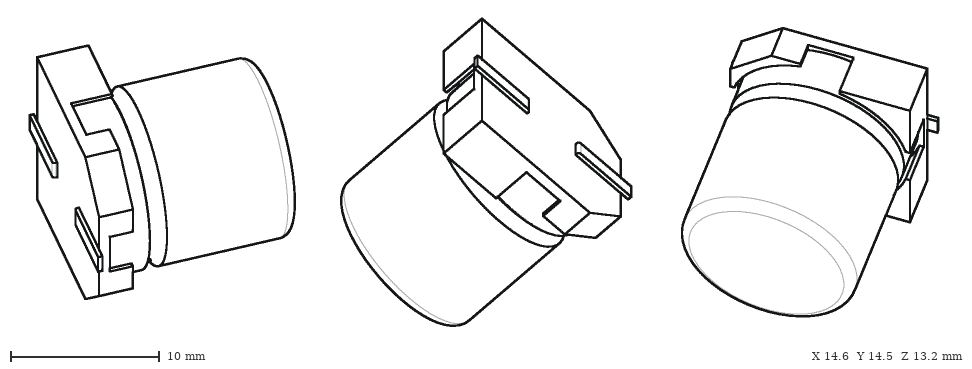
import cadquery as cq


BASE_SIDE = 13.2
BASE_CORNER_CHAMFER = 2.93
BASE_TALL = 3.65
BASE_SHORT = 2.4
FLOOR_THICKNESS = 0.76
WINDOW_WIDTH = 3.22
BORE_RADIUS = 6.5

CAN_RADIUS = 6.21
CAN_TOP = 14.21
RIM_FILLET = 0.7
GROOVE_RADIUS = 0.6
GROOVE_CENTER = 4.34

LEAD_LENGTH = 5.0
LEAD_WIDTH = 1.35
LEAD_THICKNESS = 0.3
LEAD_END_FILLET = 0.2
LEAD_SPAN = 14.6

HALF_SIDE = BASE_SIDE / 2
HALF_WINDOW = WINDOW_WIDTH / 2


def y_box(size_x, height, size_z, x=0, y=0, z=0):
    """Box centred on (x, z) that rises from y toward +Y."""
    box = cq.Workplane("XY").box(size_x, height, size_z, centered=(True, False, True))
    return box.translate((x, y, z))


def can_bore():
    """Cylinder that opens the base from its floor upward."""
    plane = cq.Workplane("XZ", origin=(0, FLOOR_THICKNESS, 0))
    return plane.circle(BORE_RADIUS).extrude(-BASE_TALL)


def make_base():
    """Square tray with two chamfered corners, a lowered side and a window in each wall."""
    base = y_box(BASE_SIDE, BASE_TALL, BASE_SIDE)
    base = base.edges("|Y and >X").chamfer(BASE_CORNER_CHAMFER)

    step_x = HALF_WINDOW + HALF_SIDE / 2
    base = base.cut(y_box(HALF_SIDE, BASE_TALL, BASE_SIDE, step_x, BASE_SHORT))

    base = base.cut(y_box(BASE_SIDE, BASE_TALL, WINDOW_WIDTH, y=FLOOR_THICKNESS))
    base = base.cut(y_box(WINDOW_WIDTH, BASE_TALL, BASE_SIDE, y=FLOOR_THICKNESS))
    return base.cut(can_bore())


def make_can():
    """Revolved can with a rounded top rim and a half-round crimp groove."""
    groove_floor = CAN_RADIUS - GROOVE_RADIUS
    profile = (
        cq.Workplane("XY")
        .moveTo(0, FLOOR_THICKNESS)
        .lineTo(CAN_RADIUS, FLOOR_THICKNESS)
        .lineTo(CAN_RADIUS, GROOVE_CENTER - GROOVE_RADIUS)
        .radiusArc((groove_floor, GROOVE_CENTER), GROOVE_RADIUS)
        .radiusArc((CAN_RADIUS, GROOVE_CENTER + GROOVE_RADIUS), GROOVE_RADIUS)
        .lineTo(CAN_RADIUS, CAN_TOP)
        .lineTo(0, CAN_TOP)
        .close()
    )
    can = profile.revolve(360, (0, 0, 0), (0, 1, 0))
    return can.faces(">Y").edges().fillet(RIM_FILLET)


def make_lead(side):
    """Flat lead under the base; side is -1 for the -X lead and +1 for the +X lead."""
    center_x = side * (LEAD_SPAN - LEAD_LENGTH) / 2
    lead = y_box(LEAD_LENGTH, LEAD_THICKNESS, LEAD_WIDTH, center_x, -LEAD_THICKNESS)
    inner_end = "<X" if side > 0 else ">X"
    return lead.faces("<Y").edges(inner_end).fillet(LEAD_END_FILLET)


base = make_base()
can = make_can()
leads = [make_lead(side) for side in (-1, 1)]

result = cq.Compound.makeCompound([base.val(), can.val(), *[lead.val() for lead in leads]])